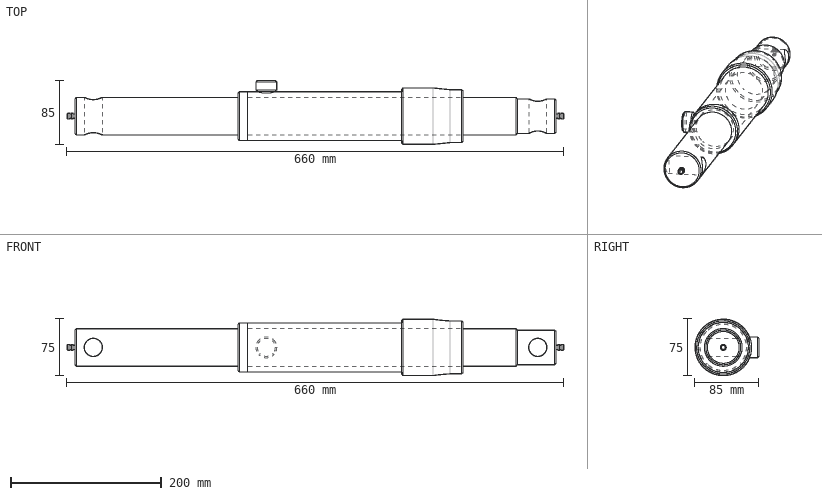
import cadquery as cq

TOTAL_LENGTH = 660.0
CHAMFER = 2.0

BASE_X = -319.5
STEM_DIAMETER = 50.0
CAP_START_X = -103.0
CAP_END_X = -90.5

BARREL_DIAMETER = 65.5

GLAND_START_X = 114.0
TAPER_START_X = 156.0
TAPER_END_X = 178.0
GLAND_END_X = 196.0
GLAND_DIAMETER = 75.0
NOSE_DIAMETER = 70.5

ROD_DIAMETER = STEM_DIAMETER
ROD_SHOULDER_X = 268.0
ROD_END_X = 319.5
ROD_TIP_DIAMETER = 46.0

PIN_HOLE_DIAMETER = 24.0
PIN_HOLE_X = 295.0

PORT_X = -65.5
PORT_DIAMETER = 28.0
PORT_FOOT_DIAMETER = PORT_DIAMETER - 2 * CHAMFER
PORT_SHOULDER_Y = 33.0
PORT_TOP_Y = 47.5

NIPPLE_DIAMETER = 8.0
NIPPLE_CORE_DIAMETER = 6.0
NIPPLE_NECK_LENGTH = 2.5
NIPPLE_FLANGE_LENGTH = 2.0
NIPPLE_WAIST_LENGTH = 2.0
NIPPLE_TIP_CHAMFER = 1.0


def x_cylinder(diameter, start_x, end_x):
    """Cylinder on the X axis between two stations."""
    return cq.Workplane("YZ", origin=(start_x, 0, 0)).circle(diameter / 2).extrude(end_x - start_x)


def cut_pin_hole(body, x):
    """Drill a mounting-pin hole right through a body along Y."""
    hole = (
        cq.Workplane("XZ", origin=(x, 0, 0))
        .circle(PIN_HOLE_DIAMETER / 2)
        .extrude(GLAND_DIAMETER, both=True)
    )
    return body.cut(hole)


def make_base():
    stem = x_cylinder(STEM_DIAMETER, BASE_X, CAP_END_X).faces("<X").chamfer(CHAMFER)
    cap = x_cylinder(BARREL_DIAMETER, CAP_START_X, CAP_END_X).faces("<X").chamfer(CHAMFER)
    return cut_pin_hole(stem.union(cap), -PIN_HOLE_X)


def make_barrel():
    tube = x_cylinder(BARREL_DIAMETER, CAP_END_X, GLAND_START_X)
    bore = x_cylinder(ROD_DIAMETER, CAP_END_X, GLAND_START_X)
    return tube.cut(bore)


def make_gland():
    body_radius = GLAND_DIAMETER / 2
    nose_radius = NOSE_DIAMETER / 2
    profile = [
        (GLAND_START_X, 0),
        (GLAND_START_X, body_radius),
        (TAPER_START_X, body_radius),
        (TAPER_END_X, nose_radius),
        (GLAND_END_X, nose_radius),
        (GLAND_END_X, 0),
    ]
    gland = cq.Workplane("XY").polyline(profile).close().revolve(360, (0, 0, 0), (1, 0, 0))
    gland = gland.faces("<X or >X").chamfer(CHAMFER)
    return gland.cut(x_cylinder(ROD_DIAMETER, GLAND_START_X, GLAND_END_X))


def make_rod():
    shank = x_cylinder(ROD_DIAMETER, CAP_END_X, ROD_SHOULDER_X).faces(">X").chamfer(CHAMFER)
    tip = x_cylinder(ROD_TIP_DIAMETER, ROD_SHOULDER_X, ROD_END_X).faces(">X").chamfer(CHAMFER)
    return cut_pin_hole(shank.union(tip), PIN_HOLE_X)


def make_port_boss():
    """Round boss on a narrower foot whose underside is shaped to sit on the barrel."""
    foot = cq.Workplane("XZ", origin=(PORT_X, 0, 0)).circle(PORT_FOOT_DIAMETER / 2).extrude(-PORT_SHOULDER_Y)
    foot = foot.cut(x_cylinder(BARREL_DIAMETER, CAP_START_X, GLAND_START_X))
    head = (
        cq.Workplane("XZ", origin=(PORT_X, PORT_SHOULDER_Y, 0))
        .circle(PORT_DIAMETER / 2)
        .extrude(PORT_SHOULDER_Y - PORT_TOP_Y)
        .faces("<Y or >Y")
        .chamfer(CHAMFER)
    )
    return foot.union(head)


def make_nipple(seat_x, side):
    """Grease nipple on an end face, pointing towards -X (side -1) or +X (side +1)."""
    flange_start_x = seat_x + side * NIPPLE_NECK_LENGTH
    flange_end_x = flange_start_x + side * NIPPLE_FLANGE_LENGTH
    head_start_x = flange_end_x + side * NIPPLE_WAIST_LENGTH
    tip_x = side * TOTAL_LENGTH / 2
    core = x_cylinder(NIPPLE_CORE_DIAMETER, seat_x, head_start_x)
    flange = x_cylinder(NIPPLE_DIAMETER, flange_start_x, flange_end_x)
    head = x_cylinder(NIPPLE_DIAMETER, head_start_x, tip_x)
    head = head.faces("<X" if side < 0 else ">X").chamfer(NIPPLE_TIP_CHAMFER)
    return core.union(flange).union(head)


base = make_base()
barrel = make_barrel()
gland = make_gland()
rod = make_rod()
port_boss = make_port_boss()
nipples = [make_nipple(seat_x, side) for seat_x, side in ((BASE_X, -1), (ROD_END_X, 1))]

result = cq.Compound.makeCompound(
    [body.val() for body in (base, barrel, gland, rod, port_boss, *nipples)]
)